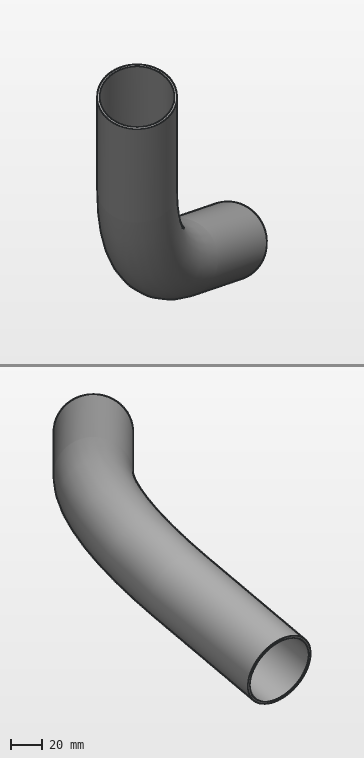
import cadquery as cq
import math

outer_diameter = 51.0
inner_diameter = 47.5
bend_angle = 45.0
overall_height = 344.0
leg_length = 101.5

angle = math.radians(bend_angle)
upper_leg_height = leg_length
lower_leg_height = leg_length * math.cos(angle)
rim_drop = outer_diameter / 2 * math.sin(angle)
bend_height = overall_height - upper_leg_height - lower_leg_height - rim_drop
bend_radius = bend_height / math.sin(angle)


def bend_point(turn):
    """Centreline point (Y, Z) after turning by an angle from the upper leg."""
    y = bend_radius * (1 - math.cos(turn))
    z = -leg_length - bend_radius * math.sin(turn)
    return y, z


bend_end_y, bend_end_z = bend_point(angle)
lower_end = (
    bend_end_y + leg_length * math.sin(angle),
    bend_end_z - leg_length * math.cos(angle),
)
centreline = (
    cq.Workplane("YZ")
    .lineTo(0, -leg_length)
    .threePointArc(bend_point(angle / 2), (bend_end_y, bend_end_z))
    .lineTo(*lower_end)
)

result = (
    cq.Workplane("XY")
    .circle(outer_diameter / 2)
    .circle(inner_diameter / 2)
    .sweep(centreline)
)